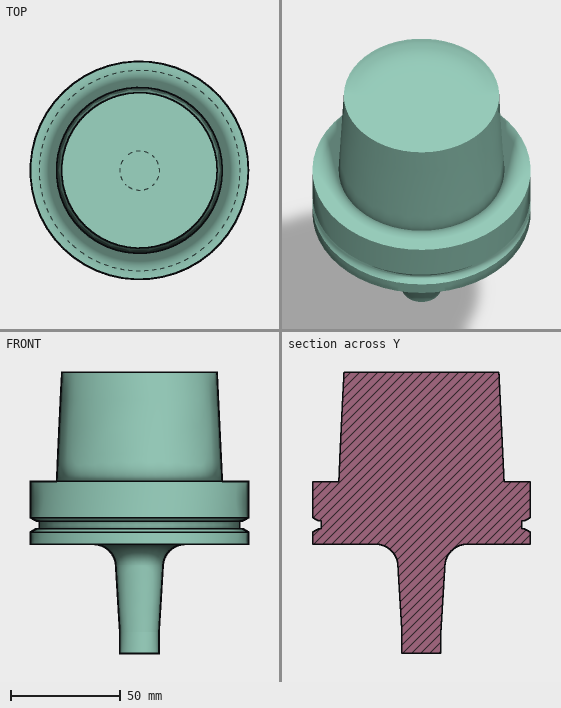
import cadquery as cq
import math

TOTAL_HEIGHT = 129.0
TAPER_HEIGHT = 50.0
NOSE_LENGTH = 50.0

TAPER_BASE_RADIUS = 76.0 / 2
TAPER_TOP_RADIUS = 71.2 / 2

FLANGE_RADIUS = 100.0 / 2
GROOVE_RADIUS = 92.0 / 2
GROOVE_WIDTH = 6.6
GROOVE_SLOPE_HEIGHT = 1.3
GROOVE_SLOPE_ANGLE = math.radians(30)
GROOVE_LIP_RADIUS = 2.0
LOWER_RIM_HEIGHT = 5.7

TIP_RADIUS = 18.0 / 2
TIP_LENGTH = 9.9
NOSE_HALF_ANGLE = math.radians(3.5)
ROOT_FILLET_RADIUS = 10.0

flange_bottom = NOSE_LENGTH
flange_top = TOTAL_HEIGHT - TAPER_HEIGHT
groove_bottom = flange_bottom + LOWER_RIM_HEIGHT
groove_top = groove_bottom + GROOVE_WIDTH

slope_end_radius = FLANGE_RADIUS - GROOVE_SLOPE_HEIGHT / math.tan(GROOVE_SLOPE_ANGLE)
lip_end_radius = slope_end_radius - GROOVE_LIP_RADIUS * math.sin(GROOVE_SLOPE_ANGLE)
lip_height = GROOVE_LIP_RADIUS * (1 - math.cos(GROOVE_SLOPE_ANGLE))
lip_middle_radius = lip_end_radius + GROOVE_LIP_RADIUS * math.sin(GROOVE_SLOPE_ANGLE / 2)
lip_middle_drop = GROOVE_LIP_RADIUS * (1 - math.cos(GROOVE_SLOPE_ANGLE / 2))
groove_side_depth = GROOVE_SLOPE_HEIGHT + lip_height
floor_bottom = groove_bottom + groove_side_depth
floor_top = groove_top - groove_side_depth

fillet_center_z = flange_bottom - ROOT_FILLET_RADIUS
cone_top_z = fillet_center_z + ROOT_FILLET_RADIUS * math.sin(NOSE_HALF_ANGLE)
cone_top_radius = TIP_RADIUS + (cone_top_z - TIP_LENGTH) * math.tan(NOSE_HALF_ANGLE)
fillet_center_radius = cone_top_radius + ROOT_FILLET_RADIUS * math.cos(NOSE_HALF_ANGLE)
fillet_mid_angle = (math.pi / 2 + math.pi - NOSE_HALF_ANGLE) / 2
fillet_middle = (
    fillet_center_radius + ROOT_FILLET_RADIUS * math.cos(fillet_mid_angle),
    fillet_center_z + ROOT_FILLET_RADIUS * math.sin(fillet_mid_angle),
)

profile = (
    cq.Workplane("XZ")
    .moveTo(0, 0)
    .lineTo(TIP_RADIUS, 0)
    .lineTo(TIP_RADIUS, TIP_LENGTH)
    .lineTo(cone_top_radius, cone_top_z)
    .threePointArc(fillet_middle, (fillet_center_radius, flange_bottom))
    .lineTo(FLANGE_RADIUS, flange_bottom)
    .lineTo(FLANGE_RADIUS, groove_bottom)
    .lineTo(slope_end_radius, groove_bottom + GROOVE_SLOPE_HEIGHT)
    .threePointArc((lip_middle_radius, floor_bottom - lip_middle_drop), (lip_end_radius, floor_bottom))
    .lineTo(GROOVE_RADIUS, floor_bottom)
    .lineTo(GROOVE_RADIUS, floor_top)
    .lineTo(lip_end_radius, floor_top)
    .threePointArc(
        (lip_middle_radius, floor_top + lip_middle_drop),
        (slope_end_radius, groove_top - GROOVE_SLOPE_HEIGHT),
    )
    .lineTo(FLANGE_RADIUS, groove_top)
    .lineTo(FLANGE_RADIUS, flange_top)
    .lineTo(TAPER_BASE_RADIUS, flange_top)
    .lineTo(TAPER_TOP_RADIUS, TOTAL_HEIGHT)
    .lineTo(0, TOTAL_HEIGHT)
    .close()
)

result = profile.revolve(360, (0, 0, 0), (0, 1, 0))